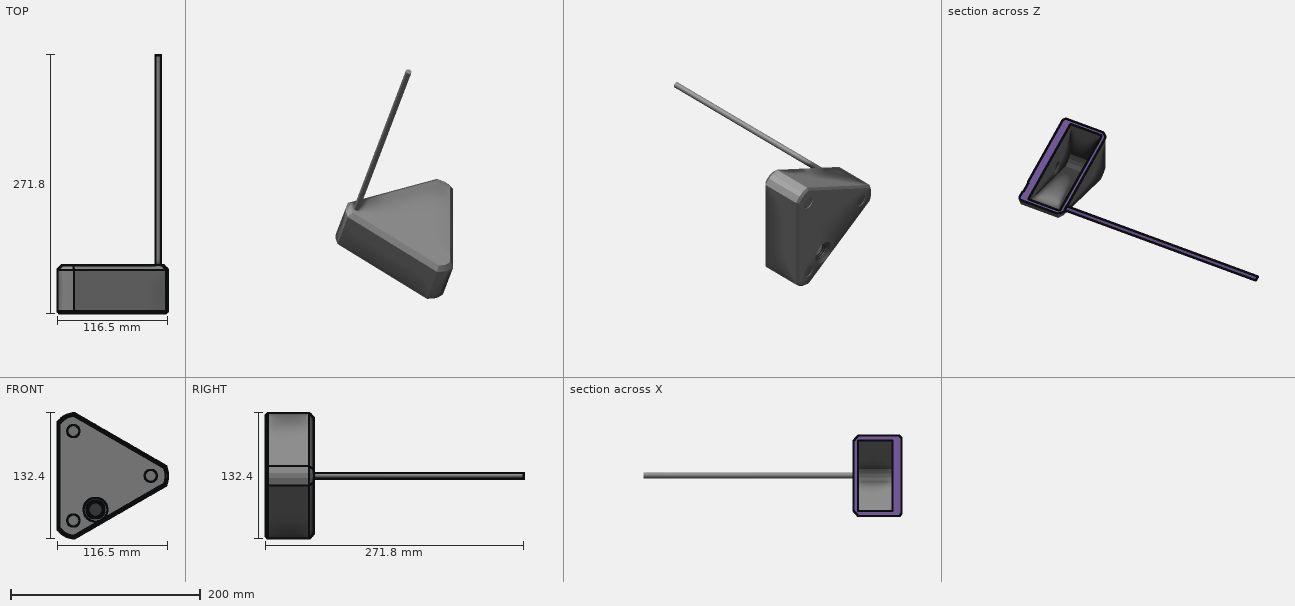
import cadquery as cq
import math

depth = 50.8
side_distance = 44.0
tip_distance = 72.5
half_height = 66.18
tip_half_width = 2.7
front_chamfer = 2.5
back_chamfer = 5.0

pad_diameter = 12.8
pad_depth = 0.8
pad_distance = 54.4

front_thickness = 10.0
wall_thickness = 5.0

hole_x = -3.8
hole_z = -35.5
mouth_diameter = 25.0
countersink_diameter = 19.0
countersink_depth = 3.0
thread_root_diameter = 17.5
thread_crest_diameter = 15.2
thread_turns = 3

total_length = 271.8
rod_diameter = 6.3
rod_distance = 62.2

corner_angles = [0, 120, 240]


def turn(radial, sideways, degrees):
    """Turn an (X, Z) point about the housing axis."""
    a = math.radians(degrees)
    return (
        radial * math.cos(a) - sideways * math.sin(a),
        radial * math.sin(a) + sideways * math.cos(a),
    )


def front_plane(y=0.0):
    """XZ workplane at the given Y; its normal is -Y, so negative extrusions go toward +Y."""
    return cq.Workplane("XZ", origin=(0, y, 0))


def make_outline():
    shoulder_half_width = 2 * side_distance * math.sin(math.radians(60)) - half_height
    shoulder_distance = 2 * (side_distance - shoulder_half_width * math.sin(math.radians(60)))
    corner = [
        (shoulder_distance, -shoulder_half_width),
        (tip_distance, -tip_half_width),
        (tip_distance, tip_half_width),
        (shoulder_distance, shoulder_half_width),
    ]
    return [turn(r, t, angle) for angle in corner_angles for r, t in corner]


def make_hole():
    """Cutter for the threaded hole, with each thread turn as a ring-shaped ridge."""
    root_radius = thread_root_diameter / 2
    crest_radius = thread_crest_diameter / 2
    pitch = (front_thickness - countersink_depth) / thread_turns
    crest_width = pitch / 4
    root_width = pitch / 4
    profile = [
        (0, 0),
        (mouth_diameter / 2, 0),
        (countersink_diameter / 2, countersink_depth),
        (root_radius, countersink_depth),
    ]
    for turn_number in range(thread_turns):
        ridge_middle = countersink_depth + (turn_number + 0.5) * pitch
        profile += [
            (root_radius, ridge_middle - (pitch - root_width) / 2),
            (crest_radius, ridge_middle - crest_width / 2),
            (crest_radius, ridge_middle + crest_width / 2),
            (root_radius, ridge_middle + (pitch - root_width) / 2),
        ]
    profile += [(root_radius, front_thickness), (0, front_thickness)]
    cutter = cq.Workplane("XY").polyline(profile).close().revolve(360, (0, 0, 0), (0, 1, 0))
    return cutter.translate((hole_x, 0, hole_z))


def make_cavity():
    cavity_depth = depth - front_thickness - wall_thickness
    return (
        front_plane(front_thickness)
        .polyline(make_outline())
        .close()
        .offset2D(-wall_thickness, "intersection")
        .extrude(-cavity_depth)
    )


def make_housing():
    block = front_plane().polyline(make_outline()).close().extrude(-depth)
    block = block.faces("<Y").chamfer(front_chamfer)
    block = block.faces(">Y").chamfer(back_chamfer)
    pads = [turn(pad_distance, 0, angle) for angle in corner_angles]
    block = block.cut(front_plane().pushPoints(pads).circle(pad_diameter / 2).extrude(-pad_depth))
    return block.cut(make_cavity()).cut(make_hole())


def make_rod():
    return (
        front_plane(depth)
        .center(rod_distance, 0)
        .circle(rod_diameter / 2)
        .extrude(depth - total_length)
    )


housing = make_housing()
rod = make_rod()
result = cq.Compound.makeCompound([housing.val(), rod.val()])